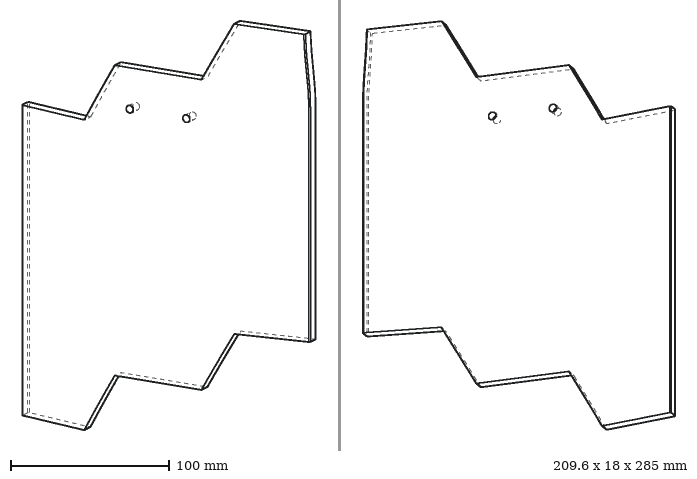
import cadquery as cq
import math

length = 209.55
half_length = length / 2
total_height = 285.0
step_height = 40.0
column_height = total_height - 2 * step_height
thickness = 8.0
step_angle = 60.0
step_run = step_height / math.tan(math.radians(step_angle))
panel_half_width = 31.5
end_edge_chamfer = 0.8

flat_half_width = 35.8
inner_bend_radius = 100.0
outer_bend_radius = inner_bend_radius + thickness
bend_angle = 9.45
bend_sin = math.sin(math.radians(bend_angle))
bend_cos = math.cos(math.radians(bend_angle))
wing_slope = bend_sin / bend_cos
bend_end_x = flat_half_width + outer_bend_radius * bend_sin
bend_end_y = outer_bend_radius * (1 - bend_cos)
end_front_y = bend_end_y + (half_length - bend_end_x) * wing_slope
wing_depth = thickness / bend_cos

border_fold_z = [241.8, 244.7, 279.7, total_height]
end_fold_z = [234.0, 252.0, 271.4, total_height]
end_drop = [0.0, 1.7, 5.2, 6.45]
lowest_patch_mid_drop = 0.43
border_lean = 0.167
bend_fold_rise = 1.9

hole_diameter = 5.0
hole_spacing = 41.2
hole_z = 217.6


def prism_along_y(points):
    """Prism with the given X-Z outline, deep enough to pass through the whole sheet."""
    return cq.Workplane("XZ").polyline(points).close().extrude(length, both=True)


def stepped_outline():
    """Three columns side by side, each one step higher than the one before."""
    step_end_x = panel_half_width + step_run
    lower_edge = [
        (-half_length, 0),
        (-step_end_x, 0),
        (-panel_half_width, step_height),
        (panel_half_width, step_height),
        (step_end_x, 2 * step_height),
        (half_length, 2 * step_height),
    ]
    upper_edge = [(x, z + column_height) for x, z in reversed(lower_edge)]
    return prism_along_y(lower_edge + upper_edge)


def bend_point(radius, angle, side):
    """X-Y point on a bend arc, at an angle in degrees from the flat panel."""
    turn = math.radians(angle)
    x = flat_half_width + radius * math.sin(turn)
    y = outer_bend_radius - radius * math.cos(turn)
    return (side * x, y)


def middle_panel():
    """Flat panel between the two bends."""
    return (
        cq.Workplane("XY")
        .center(0, thickness / 2)
        .rect(2 * flat_half_width, thickness)
        .extrude(total_height)
    )


def bend(side):
    """Curved strip beside the flat panel, ending in a face square to X."""
    return (
        cq.Workplane("XY")
        .moveTo(side * flat_half_width, 0)
        .threePointArc(
            bend_point(outer_bend_radius, bend_angle / 2, side),
            (side * bend_end_x, bend_end_y),
        )
        .lineTo(side * bend_end_x, bend_end_y + wing_depth)
        .threePointArc(
            bend_point(inner_bend_radius, bend_angle / 2, side),
            (side * flat_half_width, thickness),
        )
        .close()
        .extrude(total_height)
    )


def wing(side):
    """Flat wing, from the end of a bend to the end of the sheet."""
    points = [
        (side * bend_end_x, bend_end_y),
        (side * half_length, end_front_y),
        (side * half_length, end_front_y + wing_depth),
        (side * bend_end_x, bend_end_y + wing_depth),
    ]
    return cq.Workplane("XY").polyline(points).close().extrude(total_height)


def border_points():
    """X-Z fold ends on the inner border of the twist: one step straight up, then leaning to the panel."""
    lean_start_z = border_fold_z[1]
    return [(bend_end_x - max(0, z - lean_start_z) * border_lean, z) for z in border_fold_z]


def split_bend():
    """Pieces of the +X bend, divided by the two lowest folds where they cross it."""
    low_z = border_fold_z[0]
    high_z = border_fold_z[1]
    low_fold = [(flat_half_width, low_z), (bend_end_x, low_z)]
    high_fold = [(flat_half_width, high_z + bend_fold_rise), (bend_end_x, high_z)]
    bottom_edge = [(flat_half_width, 0), (bend_end_x, 0)]
    top_edge = [(flat_half_width, total_height), (bend_end_x, total_height)]
    edges = [bottom_edge, low_fold, high_fold, top_edge]
    return [
        bend(1).intersect(prism_along_y(lower + upper[::-1]))
        for lower, upper in zip(edges, edges[1:])
    ]


def end_section(patch):
    """Wire of a twisted patch on the +X end; the lowest patch has bowed long sides."""
    bottom_z = end_fold_z[patch]
    top_z = end_fold_z[patch + 1]
    bottom_y = end_front_y - end_drop[patch]
    top_y = end_front_y - end_drop[patch + 1]
    section = cq.Workplane("YZ", origin=(half_length, 0, 0)).moveTo(bottom_y, bottom_z)
    if patch == 0:
        mid_y = end_front_y - lowest_patch_mid_drop
        mid_z = (bottom_z + top_z) / 2
        section = (
            section.threePointArc((mid_y, mid_z), (top_y, top_z))
            .lineTo(top_y + wing_depth, top_z)
            .threePointArc((mid_y + wing_depth, mid_z), (bottom_y + wing_depth, bottom_z))
        )
    else:
        section = (
            section.lineTo(top_y, top_z)
            .lineTo(top_y + wing_depth, top_z)
            .lineTo(bottom_y + wing_depth, bottom_z)
        )
    return section.close().val()


def twisted_patch(patch):
    """Ruled solid from the untwisted sheet's section at the inner border to the dropped end section."""
    bottom, top = border_points()[patch : patch + 2]
    end_bottom = (half_length, end_fold_z[patch])
    end_top = (half_length, end_fold_z[patch + 1])
    side_sheet = bend(1).union(wing(1))
    untwisted = side_sheet.intersect(prism_along_y([bottom, top, end_top, end_bottom]))
    border_normal = cq.Vector(top[1] - bottom[1], 0, bottom[0] - top[0])
    border_face = untwisted.faces(cq.DirectionMinMaxSelector(border_normal, directionMax=False)).val()
    return cq.Workplane(cq.Solid.makeLoft([border_face.outerWire(), end_section(patch)], True))


def bent_sheet():
    """Bent sheet with its twisted corner, before the stepped outline is cut."""
    sheet = middle_panel().union(bend(-1)).union(wing(-1)).union(wing(1))
    for piece in split_bend():
        sheet = sheet.union(piece, clean=False)
    corner_end = [(half_length, total_height), (half_length, end_fold_z[0])]
    sheet = sheet.cut(prism_along_y(border_points() + corner_end), clean=False)
    for patch in range(len(border_fold_z) - 1):
        sheet = sheet.union(twisted_patch(patch), clean=False)
    return sheet


def mounting_holes():
    """Two holes through the middle panel."""
    return (
        cq.Workplane("XZ")
        .pushPoints([(-hole_spacing / 2, hole_z), (hole_spacing / 2, hole_z)])
        .circle(hole_diameter / 2)
        .extrude(2 * thickness, both=True)
    )


def chamfer_ends(sheet):
    """Bevel the upright edges of both ends of the sheet."""
    for end in ("<X", ">X"):
        sheet = sheet.faces(end).edges("not #Z").chamfer(end_edge_chamfer)
    return sheet


plate = bent_sheet().intersect(stepped_outline(), clean=False)
plate = plate.cut(mounting_holes(), clean=False)
result = chamfer_ends(plate)